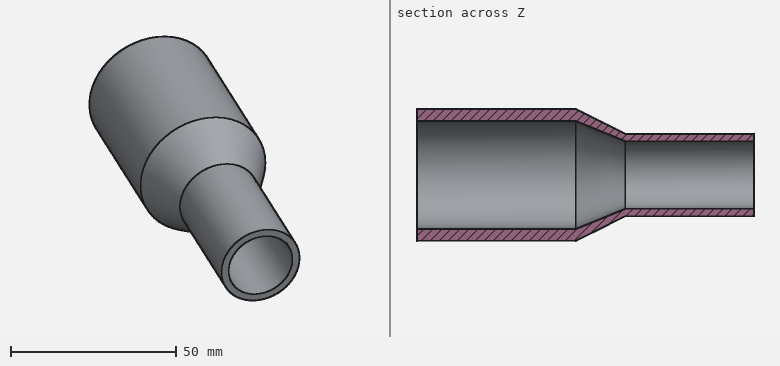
import cadquery as cq

total_length = 102.0
large_length = 48.0
cone_length = 15.0
cone_start = large_length
cone_end = cone_start + cone_length

large_diameter = 40.0
large_bore = 32.6
small_diameter = 25.0
small_bore = 20.4


def stepped_cone_body(start_diameter, end_diameter):
    """Solid of revolution about X: cylinder, cone, then cylinder."""
    start_radius = start_diameter / 2
    end_radius = end_diameter / 2
    profile = (
        cq.Workplane("XY")
        .moveTo(0, 0)
        .lineTo(0, start_radius)
        .lineTo(cone_start, start_radius)
        .lineTo(cone_end, end_radius)
        .lineTo(total_length, end_radius)
        .lineTo(total_length, 0)
        .close()
    )
    return profile.revolve(360, (0, 0, 0), (1, 0, 0))


outside = stepped_cone_body(large_diameter, small_diameter)
bore = stepped_cone_body(large_bore, small_bore)

result = outside.cut(bore)